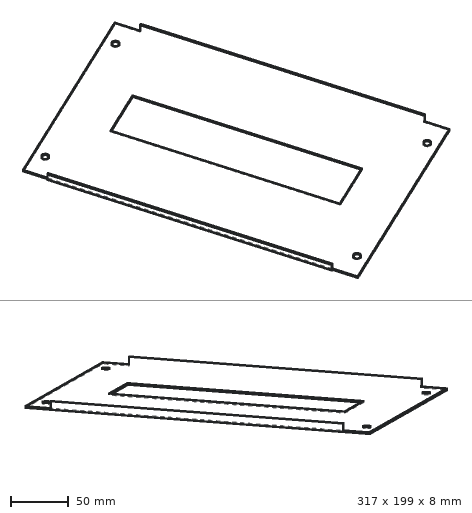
import cadquery as cq

length = 317.0
width = 199.0
height = 8.0
sheet_thickness = 1.5

flange_length = 269.5
bend_inner_radius = 0.5
bend_outer_radius = bend_inner_radius + sheet_thickness

window_length = 217.0
window_width = 46.5

hole_diameter = 6.5
hole_spacing_x = 295.5
hole_spacing_y = 149.5

plate_width = width - 2 * bend_outer_radius


def make_plate():
    """Flat plate with its underside on Z = 0, a window and four holes."""
    plate = cq.Workplane("XY").rect(length, plate_width).extrude(sheet_thickness)
    window = cq.Workplane("XY").rect(window_length, window_width).extrude(sheet_thickness)
    holes = (
        cq.Workplane("XY")
        .rect(hole_spacing_x, hole_spacing_y, forConstruction=True)
        .vertices()
        .circle(hole_diameter / 2)
        .extrude(sheet_thickness)
    )
    return plate.cut(window).cut(holes)


def make_flange():
    """Bend and upright wall on the +Y edge, drawn in section and extruded along X."""
    bend_start = plate_width / 2
    outer_face = width / 2
    inner_face = outer_face - sheet_thickness
    return (
        cq.Workplane("YZ")
        .moveTo(bend_start, 0)
        .radiusArc((outer_face, bend_outer_radius), -bend_outer_radius)
        .lineTo(outer_face, height)
        .lineTo(inner_face, height)
        .lineTo(inner_face, bend_outer_radius)
        .radiusArc((bend_start, sheet_thickness), bend_inner_radius)
        .close()
        .extrude(flange_length / 2, both=True)
    )


flange = make_flange()
result = make_plate().union(flange).union(flange.mirror("XZ"))